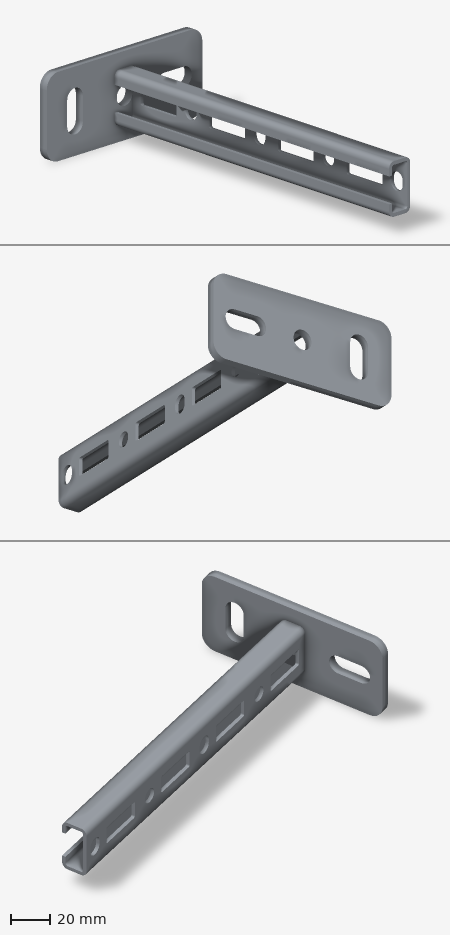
import cadquery as cq

total_length = 205.0
plate_width = 110.0
plate_height = 48.0
plate_thickness = 5.1
plate_corner_radius = 8.0

mount_hole_diameter = 11.0
mount_slot_length = 25.0
mount_slot_offset = 35.0

rail_depth = 15.0
rail_height = 30.0
rail_offset = 0.5
rail_wall = 2.0
rail_outer_radius = 3.5
rail_opening = 15.0

pattern_pitch = 50.0
pattern_count = 4
window_length = 26.0
window_height = 10.5
window_corner_radius = 1.0
first_window_x = 23.8
hole_diameter = 8.5
first_hole_x = 47.4

rail_inner_radius = rail_outer_radius - rail_wall
rail_length = total_length - plate_thickness
web_cut_depth = 2 * rail_wall
web_cut_start = rail_offset + rail_depth / 2 - 1.5 * rail_wall


def make_plate():
    """Rounded mounting plate with a central hole and two crossed slots."""
    plate = (
        cq.Workplane("YZ")
        .rect(plate_width, plate_height)
        .extrude(plate_thickness)
        .edges("|X")
        .fillet(plate_corner_radius)
    )
    openings = (
        cq.Workplane("YZ")
        .circle(mount_hole_diameter / 2)
        .extrude(plate_thickness)
    )
    for side, angle in ((1, 0), (-1, 90)):
        slot = (
            cq.Workplane("YZ")
            .center(side * mount_slot_offset, 0)
            .slot2D(mount_slot_length, mount_hole_diameter, angle)
            .extrude(plate_thickness)
        )
        openings = openings.union(slot)
    return plate.cut(openings)


def rounded_bar(depth, height, radius):
    """Bar along the rail with rounded long edges, starting at the plate."""
    return (
        cq.Workplane("YZ", origin=(plate_thickness, rail_offset, 0))
        .rect(depth, height)
        .extrude(rail_length)
        .edges("|X")
        .fillet(radius)
    )


def make_rail():
    """C-channel with its lips on the -Y side and its web on the +Y side."""
    outside = rounded_bar(rail_depth, rail_height, rail_outer_radius)
    inside = rounded_bar(
        rail_depth - 2 * rail_wall,
        rail_height - 2 * rail_wall,
        rail_inner_radius,
    )
    mouth = (
        cq.Workplane("YZ", origin=(plate_thickness, rail_offset - rail_depth / 2, 0))
        .rect(rail_depth, rail_opening)
        .extrude(rail_length)
    )
    return outside.cut(inside).cut(mouth)


def web_sketch(x):
    """Workplane just inside the web, facing -Y, centred at x."""
    return cq.Workplane("XZ", origin=(x, web_cut_start, 0))


def web_window(x):
    """Rounded rectangular cutter through the web."""
    return (
        web_sketch(x)
        .rect(window_length, window_height)
        .extrude(-web_cut_depth)
        .edges("|Y")
        .fillet(window_corner_radius)
    )


def web_hole(x, is_slot):
    """Round or upright slotted cutter through the web."""
    sketch = web_sketch(x)
    if is_slot:
        outline = sketch.slot2D(window_height, hole_diameter, 90)
    else:
        outline = sketch.circle(hole_diameter / 2)
    return outline.extrude(-web_cut_depth)


rail = make_rail()
for index in range(pattern_count):
    shift = index * pattern_pitch
    rail = rail.cut(web_window(first_window_x + shift))
    rail = rail.cut(web_hole(first_hole_x + shift, index % 2 == 1))

result = make_plate().union(rail)